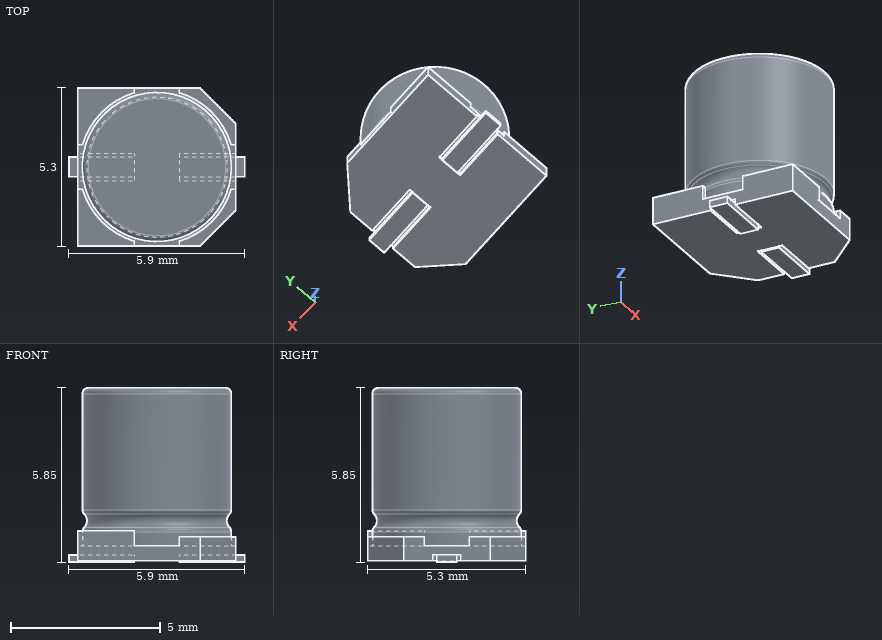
import cadquery as cq
import math

BASE_SIDE = 5.3
BASE_BOTTOM = 0.05
CORNER_CUT = 1.2
TALL_CORNER_TOP = 1.05
LOW_CORNER_TOP = 0.85
SEAT_HEIGHT = 0.55
SEAT_RADIUS = 2.6
NOTCH_WIDTH = 1.5

LEAD_SPAN = 5.9
LEAD_GAP = 1.5
LEAD_WIDTH = 0.67
LEAD_TOP = 0.25
LEAD_SLOT_WIDTH = 0.93

CAN_RADIUS = 2.5
CAN_TOP = 5.85
TOP_ROUND = 0.2
GROOVE_HEIGHT = 1.393
GROOVE_DEPTH = 0.15
GROOVE_ARC_RADIUS = 0.32
GROOVE_EDGE_RADIUS = 0.2


def block(x_min, x_max, width, z_min, z_max):
    """Box between two X limits, centred on Y = 0."""
    return (
        cq.Workplane("XY", origin=((x_min + x_max) / 2, 0, z_min))
        .box(x_max - x_min, width, z_max - z_min, centered=(True, True, False))
    )


def make_base():
    """Square plate with two cut +X corners and four raised corner walls around a round seat."""
    half = BASE_SIDE / 2
    base = (
        block(-half, half, BASE_SIDE, BASE_BOTTOM, TALL_CORNER_TOP)
        .edges("|Z and >X")
        .chamfer(CORNER_CUT)
    )
    seat = (
        cq.Workplane("XY", origin=(0, 0, SEAT_HEIGHT))
        .circle(SEAT_RADIUS)
        .extrude(TALL_CORNER_TOP - SEAT_HEIGHT)
    )
    notch_x = block(-half, half, NOTCH_WIDTH, SEAT_HEIGHT, TALL_CORNER_TOP)
    notch_y = block(-NOTCH_WIDTH / 2, NOTCH_WIDTH / 2, BASE_SIDE, SEAT_HEIGHT, TALL_CORNER_TOP)
    low_side = block(0, half, BASE_SIDE, LOW_CORNER_TOP, TALL_CORNER_TOP)
    return base.cut(seat).cut(notch_x).cut(notch_y).cut(low_side)


def make_can():
    """Round can with a rolled groove near its foot and a rounded top edge."""
    radius_sum = GROOVE_ARC_RADIUS + GROOVE_EDGE_RADIUS
    meet_angle = math.acos(1 - GROOVE_DEPTH / radius_sum)
    edge_center_r = CAN_RADIUS - GROOVE_EDGE_RADIUS
    edge_offset = radius_sum * math.sin(meet_angle)
    groove_r = CAN_RADIUS - GROOVE_DEPTH
    meet_r = edge_center_r + GROOVE_EDGE_RADIUS * math.cos(meet_angle)
    meet_offset = GROOVE_ARC_RADIUS * math.sin(meet_angle)
    edge_mid_r = edge_center_r + GROOVE_EDGE_RADIUS * math.cos(meet_angle / 2)
    edge_mid_offset = edge_offset - GROOVE_EDGE_RADIUS * math.sin(meet_angle / 2)

    profile = (
        cq.Workplane("XZ")
        .moveTo(0, SEAT_HEIGHT)
        .lineTo(CAN_RADIUS, SEAT_HEIGHT)
        .lineTo(CAN_RADIUS, GROOVE_HEIGHT - edge_offset)
        .threePointArc(
            (edge_mid_r, GROOVE_HEIGHT - edge_mid_offset),
            (meet_r, GROOVE_HEIGHT - meet_offset),
        )
        .threePointArc((groove_r, GROOVE_HEIGHT), (meet_r, GROOVE_HEIGHT + meet_offset))
        .threePointArc(
            (edge_mid_r, GROOVE_HEIGHT + edge_mid_offset),
            (CAN_RADIUS, GROOVE_HEIGHT + edge_offset),
        )
        .lineTo(CAN_RADIUS, CAN_TOP)
        .lineTo(0, CAN_TOP)
        .close()
    )
    can = profile.revolve(360, (0, 0), (0, 1))
    return can.faces(">Z").edges().fillet(TOP_ROUND)


def add_leads(body):
    """Cut a slot under each X side of the base and lay a flat lead in it."""
    inner = LEAD_GAP / 2
    outer = LEAD_SPAN / 2
    half = BASE_SIDE / 2
    for slot_limits, lead_limits in (
        ((-half, -inner), (-outer, -inner)),
        ((inner, half), (inner, outer)),
    ):
        slot = block(*slot_limits, LEAD_SLOT_WIDTH, BASE_BOTTOM, LEAD_TOP)
        lead = block(*lead_limits, LEAD_WIDTH, 0, LEAD_TOP)
        body = body.cut(slot).union(lead)
    return body


result = add_leads(make_base().union(make_can()))